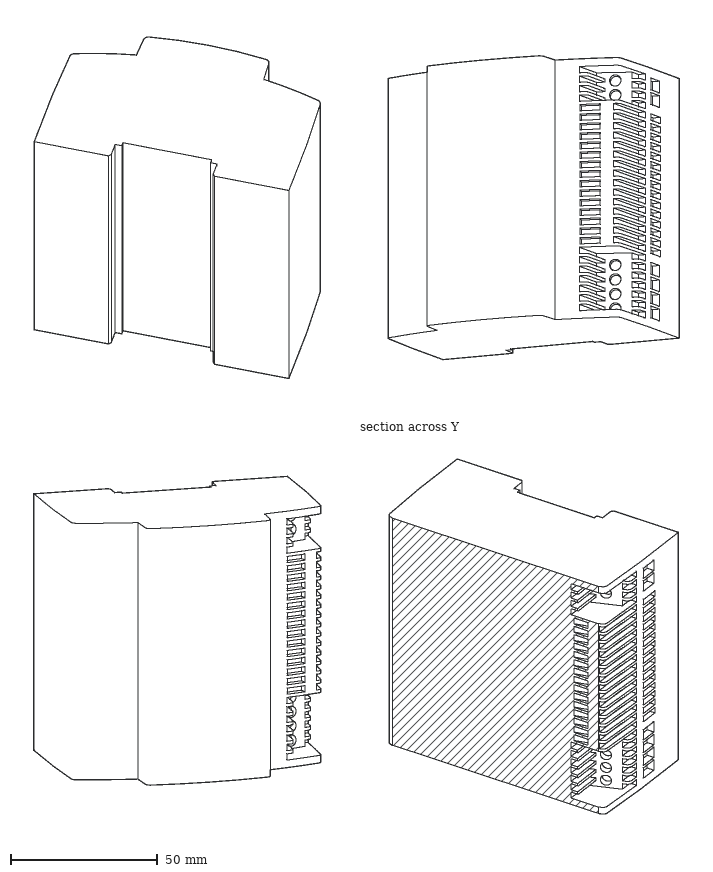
import cadquery as cq
import math

width = 90.0
depth = 60.8
height = 90.0
half_width = width / 2

boss_radius = 149.0
shoulder_radius = 139.9
arc_center_y = depth - boss_radius

draft_start_y = 23.7
shoulder_half_width = 44.2
boss_base_half_width = 22.5
boss_top_half_width = 22.05
corner_radius = 1.8

channel_half_width = 18.0
channel_depth = 5.9
channel_lead_in_x = 0.7
channel_lead_in_y = 0.9
channel_step_half_width = 15.7
channel_step_depth = 7.5

end_plate = 2.7
lower_terminal_slots = 7
middle_slots = 15
upper_terminal_slots = 4
slot_count = lower_terminal_slots + middle_slots + upper_terminal_slots
slot_height = 2.2
slot_start_y = 25.9
recess_depth = 2.7
slot_pitch = (height - 2 * end_plate - slot_height) / (slot_count - 1)

bay_wall_x = -33.6
ledge_outer_y = 29.9
ledge_angle = 20.0

terminal_pitch = 5.0
terminal_end_distance = 5.5
lower_terminals = 4
upper_terminals = 2
window_top_y = 21.7
terminal_window_length = 6.3
terminal_window_height = 4.05
small_window_length = 7.0
screw_hole_diameter = 3.9
screw_hole_x = -36.9
screw_hole_depth = 2.7
shoulder_window_x = -34.5


def arc_y(radius, x):
    """Y of the point at x on the front arc of the given radius."""
    return arc_center_y + math.sqrt(radius**2 - x**2)


def arc_point(radius, x):
    return (x, arc_y(radius, x))


def ledge_y(x):
    """Y of the flat sloping ledge at the foot of a terminal bay wall."""
    return ledge_outer_y + (x + half_width) * math.tan(math.radians(ledge_angle))


def slot_bottom(index):
    return end_plate + index * slot_pitch


def box(x_range, y_range, z_range):
    lengths = [high - low for low, high in (x_range, y_range, z_range)]
    origin = (x_range[0], y_range[0], z_range[0])
    return cq.Workplane("XY").box(*lengths, centered=False).translate(origin)


def round_corner(body, corner, z):
    """Round the Z-parallel edge that passes closest to the corner at level z."""
    edge = cq.selectors.NearestToPointSelector((*corner, z))
    return body.edges("|Z").edges(edge).fillet(corner_radius)


def make_housing():
    shoulder_corner = arc_point(shoulder_radius, shoulder_half_width)
    shoulder_inner = arc_point(shoulder_radius, boss_base_half_width)
    shoulder_middle = arc_point(shoulder_radius, (shoulder_half_width + boss_base_half_width) / 2)
    boss_corner = arc_point(boss_radius, boss_top_half_width)
    mouth_half_width = channel_half_width + channel_lead_in_x

    half = (
        cq.Workplane("XY")
        .moveTo(0, channel_step_depth)
        .lineTo(channel_step_half_width, channel_step_depth)
        .lineTo(channel_step_half_width, channel_depth)
        .lineTo(channel_half_width, channel_depth)
        .lineTo(channel_half_width, channel_lead_in_y)
        .lineTo(mouth_half_width, 0)
        .lineTo(half_width, 0)
        .lineTo(half_width, draft_start_y)
        .lineTo(*shoulder_corner)
        .threePointArc(shoulder_middle, shoulder_inner)
        .lineTo(*boss_corner)
        .threePointArc(arc_point(boss_radius, boss_top_half_width / 2), (0, depth))
        .close()
        .extrude(height)
    )
    for corner in (shoulder_corner, boss_corner):
        half = round_corner(half, corner, height / 2)
    return half.union(half.mirror("YZ")).clean()


def ledge_cutter(wall_x, z_range):
    """Everything above the ledge on the -X side, back to a wall at wall_x."""
    return (
        cq.Workplane("XY")
        .workplane(offset=z_range[0])
        .moveTo(-half_width, ledge_outer_y)
        .lineTo(wall_x, ledge_y(wall_x))
        .lineTo(wall_x, depth)
        .lineTo(-half_width, depth)
        .close()
        .extrude(z_range[1] - z_range[0])
    )


def cut_terminal_bay(body, first_slot, slots):
    """Set the bay back to its wall and round the lip and the top of the wall."""
    z_low = slot_bottom(first_slot)
    z_high = slot_bottom(first_slot + slots - 1) + slot_height
    body = body.cut(ledge_cutter(bay_wall_x, (z_low, z_high)))
    z_middle = (z_low + z_high) / 2
    body = round_corner(body, (-half_width, ledge_outer_y), z_middle)
    body = round_corner(body, arc_point(shoulder_radius, bay_wall_x), z_middle)
    for index in range(first_slot, first_slot + slots):
        z_slot = slot_bottom(index)
        body = body.cut(ledge_cutter(bay_wall_x + recess_depth, (z_slot, z_slot + slot_height)))
    return body


def side_recess(y_range, z_range):
    """Rectangular recess of the common depth in the -X side."""
    return box((-half_width, -half_width + recess_depth), y_range, z_range)


def tilt_and_place(shape, angle, point):
    """Tilt a shape modelled along +Y at the origin outward to -X and move it to the point."""
    return shape.rotate((0, 0, 0), (0, 0, 1), angle).translate((*point, 0))


def shoulder_window(z_low):
    """Recess square to the curved shoulder."""
    half_length = small_window_length / 2
    shape = box(
        (-half_length, half_length), (-recess_depth, recess_depth), (z_low, z_low + slot_height)
    )
    angle = math.degrees(math.asin(-shoulder_window_x / shoulder_radius))
    return tilt_and_place(shape, angle, arc_point(shoulder_radius, shoulder_window_x))


def screw_hole(z_center):
    """Blind hole square to the sloping ledge."""
    shape = (
        cq.Workplane("XZ", origin=(0, screw_hole_depth, z_center))
        .circle(screw_hole_diameter / 2)
        .extrude(2 * screw_hole_depth)
    )
    return tilt_and_place(shape, ledge_angle, (screw_hole_x, ledge_y(screw_hole_x)))


def terminal_levels():
    lower = [terminal_end_distance + i * terminal_pitch for i in range(lower_terminals)]
    upper = [height - terminal_end_distance - i * terminal_pitch for i in range(upper_terminals)]
    return lower + upper


result = make_housing()

first_upper_slot = lower_terminal_slots + middle_slots
result = cut_terminal_bay(result, 0, lower_terminal_slots)
result = cut_terminal_bay(result, first_upper_slot, upper_terminal_slots)

for index in range(slot_count):
    z_low = slot_bottom(index)
    in_middle = lower_terminal_slots <= index < first_upper_slot
    slot_end_y = depth if in_middle else ledge_y(-half_width + recess_depth)
    result = result.cut(side_recess((slot_start_y, slot_end_y), (z_low, z_low + slot_height)))

for index in range(lower_terminal_slots, first_upper_slot):
    z_low = slot_bottom(index)
    y_range = (window_top_y - small_window_length, window_top_y)
    result = result.cut(side_recess(y_range, (z_low, z_low + slot_height)))
    result = result.cut(shoulder_window(z_low))

for z_center in terminal_levels():
    y_range = (window_top_y - terminal_window_length, window_top_y)
    z_range = (z_center - terminal_window_height / 2, z_center + terminal_window_height / 2)
    result = result.cut(side_recess(y_range, z_range))
    result = result.cut(screw_hole(z_center))